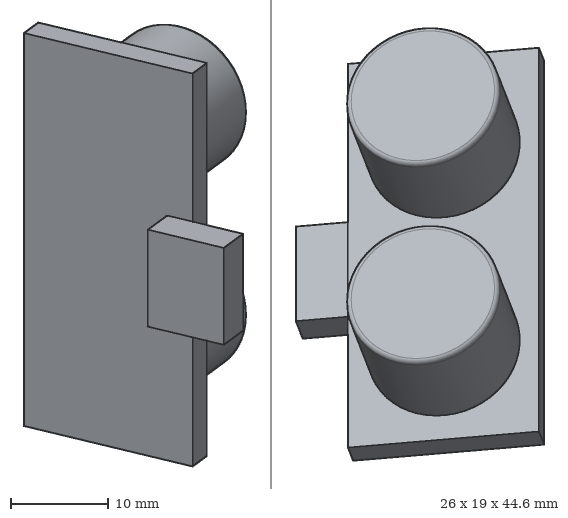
import cadquery as cq

board_width = 20.0
board_thickness = 3.0
board_height = 44.6

can_diameter = 16.0
can_length = 12.0
can_spacing = 23.0
can_edge_radius = 0.5

connector_width = 9.0
connector_depth = 4.0
connector_height = 11.0
connector_overhang = 6.0


def make_board():
    """Plate running from Y = 0 back to the board thickness."""
    return cq.Workplane("XY").box(
        board_width, board_thickness, board_height, centered=(True, False, True)
    )


def make_can(center_z):
    """Round can standing on the back of the board, with a rounded outer rim."""
    can = (
        cq.Workplane("XZ", origin=(0, board_thickness, center_z))
        .circle(can_diameter / 2)
        .extrude(-can_length)
    )
    return can.faces(">Y").edges().fillet(can_edge_radius)


def make_connector():
    """Block lying against the front face of the board at mid height."""
    center_x = board_width / 2 + connector_overhang - connector_width / 2
    block = cq.Workplane("XY").box(connector_width, connector_depth, connector_height)
    return block.translate((center_x, -connector_depth / 2, 0))


result = make_board().union(make_connector())
for side in (-1, 1):
    result = result.union(make_can(side * can_spacing / 2))